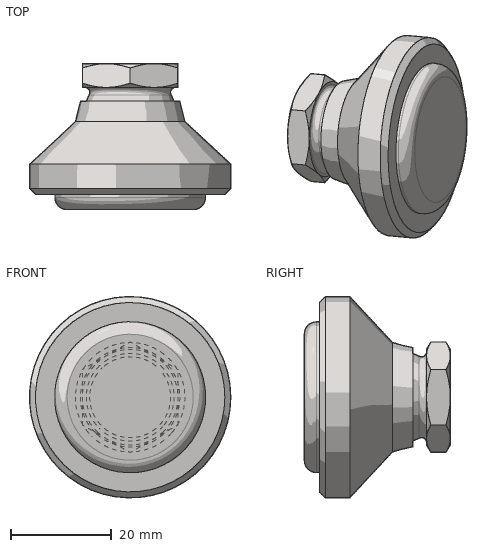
import cadquery as cq
import math

total_length = 29.0

pad_radius = 15.0
pad_height = 3.0
pad_rounding = 2.5
rim_radius = 20.0
rim_chamfer = 1.2
rim_back = 9.05
cone_back = 17.5
collar_front_radius = 10.9
collar_back = 21.55
collar_back_radius = 9.9

neck_front_radius = 8.7
groove_front = 22.75
groove_front_radius = 8.2
groove_middle = 23.35
groove_radius = 8.05
groove_back_radius = 8.9

hex_across_flats = 19.0
hex_sides = 6
hex_height = 4.7
hex_chamfer_angle = 30
hex_front = total_length - hex_height


def make_turned_body():
    """Revolve the half profile, drawn as (radius, Y), about the Y axis."""
    profile = (
        cq.Workplane("XY")
        .moveTo(0, 0)
        .lineTo(pad_radius - pad_rounding, 0)
        .radiusArc((pad_radius, pad_rounding), -pad_rounding)
        .lineTo(pad_radius, pad_height)
        .lineTo(rim_radius - rim_chamfer, pad_height)
        .lineTo(rim_radius, pad_height + rim_chamfer)
        .lineTo(rim_radius, rim_back)
        .lineTo(collar_front_radius, cone_back)
        .lineTo(collar_back_radius, collar_back)
        .lineTo(neck_front_radius, collar_back)
        .lineTo(groove_front_radius, groove_front)
        .threePointArc((groove_radius, groove_middle), (groove_back_radius, hex_front))
        .lineTo(0, hex_front)
        .close()
    )
    return profile.revolve(360, (0, 0, 0), (0, 1, 0))


def make_hexagon():
    """Hexagon with flats facing +X and -X, trimmed by a double cone."""
    side_angle = 2 * math.pi / hex_sides
    flat_radius = hex_across_flats / 2
    corner_radius = flat_radius / math.cos(side_angle / 2)
    chamfer_depth = (corner_radius - flat_radius) * math.tan(math.radians(hex_chamfer_angle))
    corners = [
        (
            corner_radius * math.sin(i * side_angle),
            corner_radius * math.cos(i * side_angle),
        )
        for i in range(hex_sides)
    ]
    prism = (
        cq.Workplane("XZ", origin=(0, total_length, 0))
        .polyline(corners)
        .close()
        .extrude(hex_height)
    )
    envelope = (
        cq.Workplane("XY")
        .moveTo(0, hex_front)
        .lineTo(flat_radius, hex_front)
        .lineTo(corner_radius, hex_front + chamfer_depth)
        .lineTo(corner_radius, total_length - chamfer_depth)
        .lineTo(flat_radius, total_length)
        .lineTo(0, total_length)
        .close()
        .revolve(360, (0, 0, 0), (0, 1, 0))
    )
    return prism.intersect(envelope)


result = make_turned_body().union(make_hexagon())